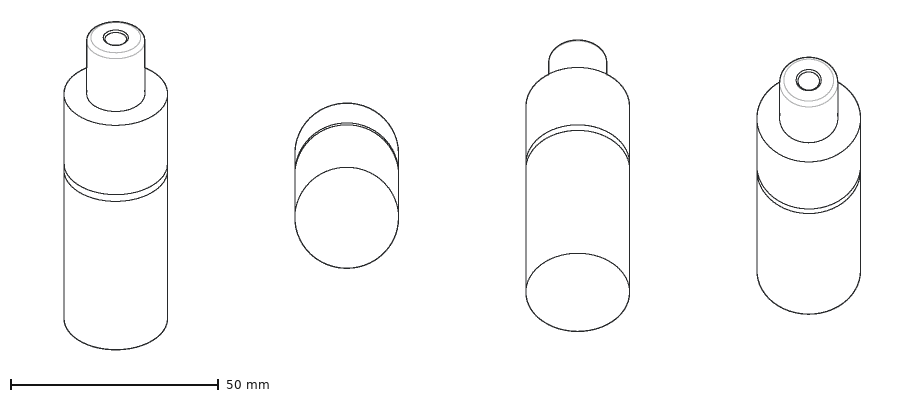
import cadquery as cq
import math

total_height = 85.0
body_diameter = 25.0
pin_diameter = 14.0
pin_height = 17.0
pin_edge_radius = 1.0

groove_radius = 1.0
groove_height = 46.0

hole_diameter = 5.2
hole_mouth_diameter = 6.0
hole_depth = 11.9
drill_point_angle = 118.0

body_radius = body_diameter / 2
body_height = total_height - pin_height


def make_stepped_shaft():
    """Cylindrical body with a thinner, rounded-end pin on top."""
    body = cq.Workplane("XY").circle(body_radius).extrude(body_height)
    pin = cq.Workplane("XY").workplane(offset=body_height).circle(pin_diameter / 2).extrude(pin_height)
    pin = pin.faces(">Z").edges().fillet(pin_edge_radius)
    return body.union(pin)


def make_groove():
    """Ring of circular section centred on the body surface."""
    section = cq.Workplane("XZ").center(body_radius, groove_height).circle(groove_radius)
    return section.revolve(360, (-body_radius, 0), (-body_radius, 1))


def make_hole():
    """Drilled hole with a 45 degree countersunk mouth and a conical bottom."""
    hole_radius = hole_diameter / 2
    mouth_radius = hole_mouth_diameter / 2
    mouth_depth = mouth_radius - hole_radius
    hole_bottom = total_height - hole_depth
    point_length = hole_radius / math.tan(math.radians(drill_point_angle / 2))
    half_section = (
        cq.Workplane("XZ")
        .moveTo(0, total_height)
        .lineTo(mouth_radius, total_height)
        .lineTo(hole_radius, total_height - mouth_depth)
        .lineTo(hole_radius, hole_bottom)
        .lineTo(0, hole_bottom - point_length)
        .close()
    )
    return half_section.revolve(360, (0, 0), (0, 1))


result = make_stepped_shaft().cut(make_groove()).cut(make_hole())